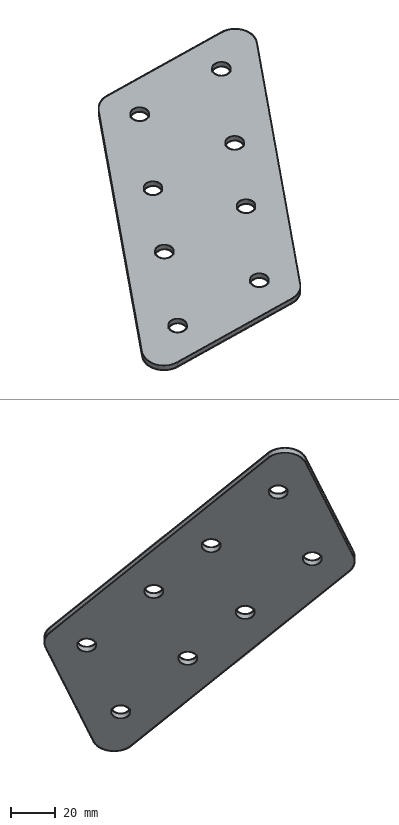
import cadquery as cq
import math

length = 206.0
thickness = 3.0
corner_radius = 9.9
edge_angle = math.radians(60)
side_corner_y = 37.0

hole_diameter = 8.5
hole_pitch = 46.2
hole_group_y = 37.0

tip_y = length / 2 - corner_radius
tip_x = -side_corner_y / math.tan(edge_angle)
side_corner_x = -tip_y / math.tan(edge_angle)
corner_centres = [
    (tip_x, tip_y),
    (side_corner_x, side_corner_y),
    (-tip_x, -tip_y),
    (-side_corner_x, -side_corner_y),
]


def rhombus_points(center_x, center_y):
    """Corners of a rhombus of side hole_pitch, with its long diagonal along Y."""
    half_width = hole_pitch * math.cos(edge_angle)
    half_height = hole_pitch * math.sin(edge_angle)
    return [
        (center_x, center_y + half_height),
        (center_x - half_width, center_y),
        (center_x, center_y - half_height),
        (center_x + half_width, center_y),
    ]


plate = (
    cq.Workplane("XY")
    .polyline(corner_centres)
    .close()
    .offset2D(corner_radius, "arc")
    .extrude(thickness)
)

upper_holes = rhombus_points(tip_x, hole_group_y)
lower_holes = rhombus_points(-tip_x, -hole_group_y)
hole_cutters = (
    cq.Workplane("XY")
    .pushPoints(upper_holes + lower_holes)
    .circle(hole_diameter / 2)
    .extrude(thickness)
)

result = plate.cut(hole_cutters)